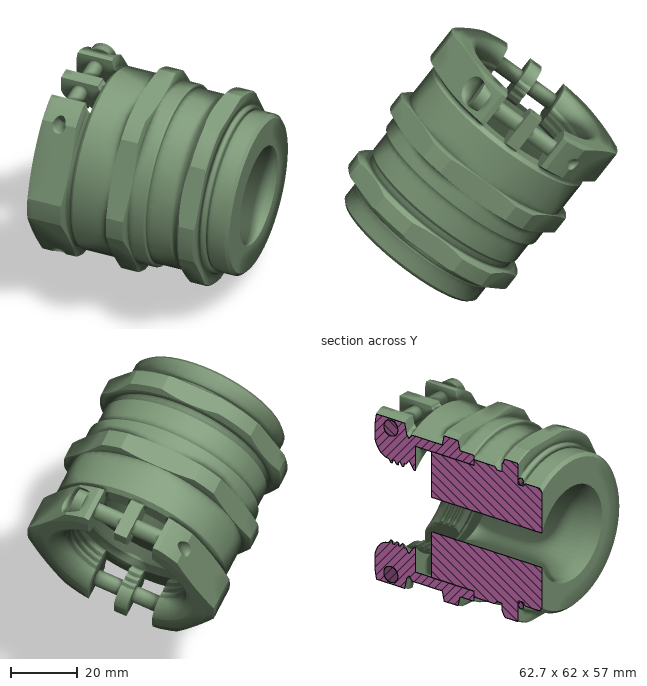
import cadquery as cq
import math


across_flats = 57.0
nut_corner_dia = 62.0
flange_corner_dia = 60.0

jaw_length = 12.05
lip_front = 12.8
sleeve_start = 14.0
ring_start = 25.2
ring_end = 32.0
sleeve_end = 37.25
sleeve_dia = 56.5
sleeve_end_fillet = 0.55
ring_front_chamfer = 0.7
hex_back_chamfer = 0.75
jaw_front_chamfer = 0.55
groove_depth = sleeve_start - lip_front
jaw_back_dia = 55.8

mouth_dia = 47.8
mouth_length = 5.2
jaw_bore_dia = 40.0
tooth_dia = 38.5
tooth_pitch = 2.15
tooth_crest = 0.8
tooth_count = 3
lip_entry_dia = 42.1
lip_bore_dia = 38.5
lip_back = 15.4
socket_dia = 50.6

slot_width = 21.2
tongue_width = 4.15
screw_x = jaw_length / 2
screw_z = 24.25
shank_dia = 5.0
jaw_clearance_dia = 5.3
tongue_clearance_dia = 5.5
screw_exit_dia = 4.15
screw_tip_y = -14.4
head_dia = 8.45
head_end_dia = 8.0
head_seat_y = 14.6
head_height = 3.15
head_recess_dia = 9.15

body_front = 21.1
body_bore_dia = 31.0
seat_dia = 42.1
seat_rise = 0.05
barrel_dia = 54.1
barrel_end = 44.95
neck_dia = 52.5
barrel_chamfer = (barrel_dia - neck_dia) / 2
flange_start = 47.6
flange_end = 53.75
flange_front_dia = 56.5
flange_front_chamfer = 1.05
flange_back_chamfer = 0.4
thread_dia = 50.0
relief_dia = 49.1
relief_end = 56.35
thread_chamfer = 1.0
overall_length = 62.7

oring_dia = 52.3
oring_section = 2.0
oring_groove_end = flange_end + oring_section

cut_reach = 37.6


def turned(points):
    """Solid of revolution about X from (x, radius) points."""
    return cq.Workplane("XY").polyline(points).close().revolve(360, (0, 0, 0), (1, 0, 0))


def disc(x_from, x_to, dia):
    """Cylinder on the X axis."""
    return cq.Workplane("YZ", origin=(x_from, 0, 0)).circle(dia / 2).extrude(x_to - x_from)


def hexagon(x_from, x_to):
    """Hexagonal prism on the X axis with flats facing +Z and -Z."""
    points_dia = across_flats / math.cos(math.pi / 6)
    return cq.Workplane("YZ", origin=(x_from, 0, 0)).polygon(6, points_dia).extrude(x_to - x_from)


def rod(y_from, y_to, dia, z):
    """Cylinder parallel to Y on a clamp screw axis."""
    low, high = sorted((y_from, y_to))
    plane = cq.Workplane("XZ", origin=(screw_x, low, z))
    return plane.circle(dia / 2).extrude(low - high)


def hex_collar(x_from, x_to, corner_dia, front_dia, front_chamfer, back_dia, back_chamfer):
    """Hexagon whose corners are turned to a cylinder with a cone at each end."""
    corner = corner_dia / 2
    envelope = turned([
        (x_from, 0),
        (x_from, front_dia / 2),
        (x_from + front_chamfer, corner),
        (x_to - back_chamfer, corner),
        (x_to, back_dia / 2),
        (x_to, 0),
    ])
    return hexagon(x_from, x_to).intersect(envelope)


def nut_outside():
    sleeve = sleeve_dia / 2
    turned_part = turned([
        (jaw_length, 0),
        (jaw_length, jaw_back_dia / 2),
        (lip_front, sleeve - groove_depth),
        (sleeve_start, sleeve),
        (sleeve_end, sleeve),
        (sleeve_end, 0),
    ])
    turned_part = turned_part.faces(">X").edges().fillet(sleeve_end_fillet)
    jaws = hex_collar(
        0, jaw_length, nut_corner_dia, sleeve_dia, jaw_front_chamfer, jaw_back_dia, hex_back_chamfer
    )
    ring = hex_collar(
        ring_start, ring_end, nut_corner_dia, sleeve_dia, ring_front_chamfer, sleeve_dia, hex_back_chamfer
    )
    return jaws.union(turned_part).union(ring)


def nut_inside():
    """Bell mouth, toothed jaw bore, chamfered lip and the socket for the gland body."""
    mouth = mouth_dia / 2
    jaw_bore = jaw_bore_dia / 2
    lip_bore = lip_bore_dia / 2
    mouth_drop = mouth - jaw_bore
    mouth_radius = (mouth_length**2 + mouth_drop**2) / (2 * mouth_drop)
    half_angle = math.atan2(mouth_length, mouth_radius - mouth_drop) / 2
    arc_middle = (
        mouth_length - mouth_radius * math.sin(half_angle),
        jaw_bore + mouth_radius * (1 - math.cos(half_angle)),
    )
    lip_entry = lip_entry_dia / 2

    outline = cq.Workplane("XY").moveTo(0, 0).lineTo(0, mouth)
    outline = outline.threePointArc(arc_middle, (mouth_length, jaw_bore))
    for tooth in range(tooth_count):
        tooth_start = mouth_length + tooth * tooth_pitch
        crest_start = tooth_start + jaw_bore - tooth_dia / 2
        crest_end = crest_start + tooth_crest
        if tooth > 0:
            outline = outline.lineTo(tooth_start, jaw_bore)
        outline = outline.lineTo(crest_start, tooth_dia / 2)
        outline = outline.lineTo(crest_end, tooth_dia / 2)
        outline = outline.lineTo(crest_end, jaw_bore)
    outline = (
        outline.lineTo(lip_front - (lip_entry - jaw_bore), jaw_bore)
        .lineTo(lip_front, lip_entry)
        .lineTo(lip_front + lip_entry - lip_bore, lip_bore)
        .lineTo(lip_back, lip_bore)
        .lineTo(lip_back, socket_dia / 2)
        .lineTo(sleeve_end, socket_dia / 2)
        .lineTo(sleeve_end, 0)
        .close()
    )
    return outline.revolve(360, (0, 0, 0), (1, 0, 0))


def jaw_slots():
    """Four gaps through the jaws, leaving a tongue at the top and at the bottom."""
    gap_width = (slot_width - tongue_width) / 2
    gap_offset = (slot_width + tongue_width) / 4
    gaps = cq.Workplane("XY")
    for side in (-1, 1):
        gap = cq.Workplane("XY").box(lip_front, gap_width, 2 * cut_reach, centered=(False, True, True))
        gaps = gaps.add(gap.translate((0, side * gap_offset, 0)))
    return gaps.combine()


def screw_holes(z):
    """Head recess, clearance holes, screw hole and narrower exit hole for one screw."""
    return (
        rod(head_seat_y, cut_reach, head_recess_dia, z)
        .union(rod(0, head_seat_y, jaw_clearance_dia, z))
        .union(rod(-slot_width / 2, slot_width / 2, tongue_clearance_dia, z))
        .union(rod(screw_tip_y, 0, shank_dia, z))
        .union(rod(-cut_reach, screw_tip_y, screw_exit_dia, z))
    )


def make_clamping_nut():
    nut = nut_outside().cut(nut_inside()).cut(jaw_slots())
    for z in (screw_z, -screw_z):
        nut = nut.cut(screw_holes(z))
    return nut


def make_clamp_screw(z):
    shank = rod(screw_tip_y, head_seat_y, shank_dia, z)
    head_base = cq.Workplane("XZ", origin=(screw_x, head_seat_y, z)).circle(head_dia / 2)
    head = head_base.workplane(offset=-head_height).circle(head_end_dia / 2).loft(ruled=True)
    return shank.union(head)


def make_gland_body():
    thread = thread_dia / 2
    groove_floor = oring_dia / 2 - oring_section
    turned_part = turned([
        (body_front - seat_rise, 0),
        (body_front - seat_rise, seat_dia / 2),
        (body_front, seat_dia / 2),
        (body_front, socket_dia / 2),
        (sleeve_end, socket_dia / 2),
        (sleeve_end, barrel_dia / 2),
        (barrel_end, barrel_dia / 2),
        (barrel_end + barrel_chamfer, neck_dia / 2),
        (flange_end, neck_dia / 2),
        (flange_end, groove_floor),
        (oring_groove_end, groove_floor),
        (oring_groove_end, relief_dia / 2),
        (relief_end, thread),
        (overall_length - thread_chamfer, thread),
        (overall_length, thread - thread_chamfer),
        (overall_length, 0),
    ])
    flange = hex_collar(
        flange_start,
        flange_end,
        flange_corner_dia,
        flange_front_dia,
        flange_front_chamfer,
        flange_corner_dia - 2 * flange_back_chamfer,
        flange_back_chamfer,
    )
    return turned_part.union(flange).cut(disc(0, overall_length, body_bore_dia))


def make_oring():
    ring_radius = (oring_dia - oring_section) / 2
    section = cq.Workplane("XY").center(flange_end + oring_section / 2, ring_radius)
    return section.circle(oring_section / 2).revolve(360, (0, -ring_radius, 0), (1, -ring_radius, 0))


clamping_nut = make_clamping_nut()
clamp_screws = [make_clamp_screw(z) for z in (screw_z, -screw_z)]
gland_body = make_gland_body()
oring = make_oring()

result = cq.Compound.makeCompound([
    clamping_nut.val(),
    *[screw.val() for screw in clamp_screws],
    gland_body.val(),
    oring.val(),
])